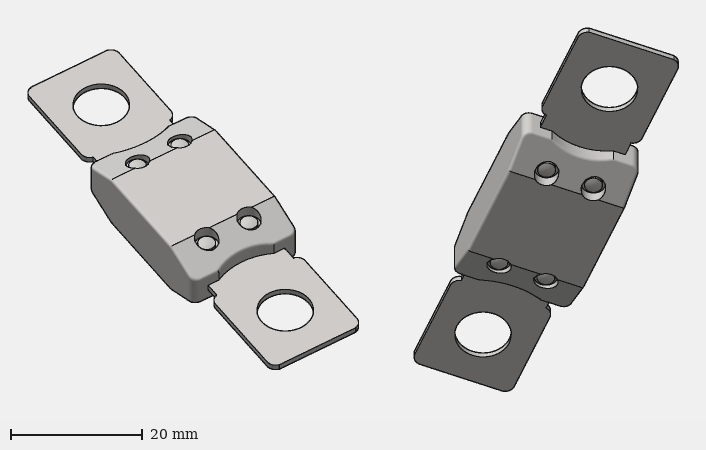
import cadquery as cq
import math

blade_length = 68.6
blade_thickness = 1.0
lug_width = 16.3
lug_length = 17.3
lug_corner_radius = 1.5
neck_width = 13.9
terminal_hole_diameter = 8.6
terminal_hole_x = 25.4

housing_length = 29.3
housing_width = 19.1
housing_height = 9.9
flat_length = 16.45
end_height = 5.0
housing_corner_radius = 1.4
rim_radius = 0.5

hollow_radius = 11.0
hollow_width = 10.0
hollow_center_inset = math.sqrt(hollow_radius**2 - (hollow_width / 2) ** 2)
hollow_depth = hollow_radius - hollow_center_inset

pocket_diameter = 3.7
pocket_x = 9.55
pocket_y = 3.85
pocket_floor_z = 3.0
rivet_diameter = 2.75
rivet_rim_height = 0.5
rivet_dome_height = 0.3
dome_radius = ((rivet_diameter / 2) ** 2 + rivet_dome_height**2) / (2 * rivet_dome_height)


def is_crease(edge):
    """True for the long edges across Y where the flats meet the slopes."""
    runs_across = edge.BoundingBox().ylen > housing_width / 2
    return runs_across and abs(edge.Center().x) < housing_length / 2 - hollow_depth


def make_housing():
    """Block with sloped ends, a hollow in each end face and a rounded rim."""
    half_length = housing_length / 2
    half_flat = flat_length / 2
    half_height = housing_height / 2
    half_end = end_height / 2
    side_outline = [
        (-half_length, -half_end),
        (-half_flat, -half_height),
        (half_flat, -half_height),
        (half_length, -half_end),
        (half_length, half_end),
        (half_flat, half_height),
        (-half_flat, half_height),
        (-half_length, half_end),
    ]
    housing = (
        cq.Workplane("XZ")
        .polyline(side_outline)
        .close()
        .extrude(housing_width / 2, both=True)
    )
    housing = housing.edges("|Z").fillet(housing_corner_radius)

    hollow_center_x = half_length + hollow_center_inset
    hollows = (
        cq.Workplane("XY")
        .pushPoints([(-hollow_center_x, 0), (hollow_center_x, 0)])
        .circle(hollow_radius)
        .extrude(housing_height, both=True)
    )
    housing = housing.cut(hollows)

    rim = housing.edges("not |Z").filter(lambda edge: not is_crease(edge))
    return rim.fillet(rim_radius)


def make_blade():
    """Narrow neck strip through the housing with a wider lug at each end."""
    blade = cq.Workplane("XY").box(blade_length, neck_width, blade_thickness)
    for side in (-1, 1):
        lug = (
            cq.Workplane("XY")
            .box(lug_length, lug_width, blade_thickness)
            .edges("|Z")
            .fillet(lug_corner_radius)
            .translate((side * (blade_length - lug_length) / 2, 0, 0))
        )
        blade = blade.union(lug)
    return blade


def make_terminal_holes():
    return (
        cq.Workplane("XY")
        .pushPoints([(-terminal_hole_x, 0), (terminal_hole_x, 0)])
        .circle(terminal_hole_diameter / 2)
        .extrude(blade_thickness, both=True)
    )


def make_rivet_head():
    """Short round stub with a shallow dome on top, its base at the height of the origin."""
    radius = rivet_diameter / 2
    return (
        cq.Workplane("XZ")
        .lineTo(radius, 0)
        .lineTo(radius, rivet_rim_height)
        .radiusArc((0, rivet_rim_height + rivet_dome_height), -dome_radius)
        .close()
        .revolve(360, (0, 0), (0, 1))
    )


def make_pocket():
    """Cutter for an upper pocket that leaves the rivet head standing on the floor."""
    pocket = cq.Workplane("XY").circle(pocket_diameter / 2).extrude(housing_height / 2)
    return pocket.cut(make_rivet_head()).translate((0, 0, pocket_floor_z))


result = make_housing().union(make_blade()).cut(make_terminal_holes())

upper_pocket = make_pocket()
lower_pocket = upper_pocket.mirror("XY")
for x in (-pocket_x, pocket_x):
    for y in (-pocket_y, pocket_y):
        for pocket in (upper_pocket, lower_pocket):
            result = result.cut(pocket.translate((x, y, 0)))